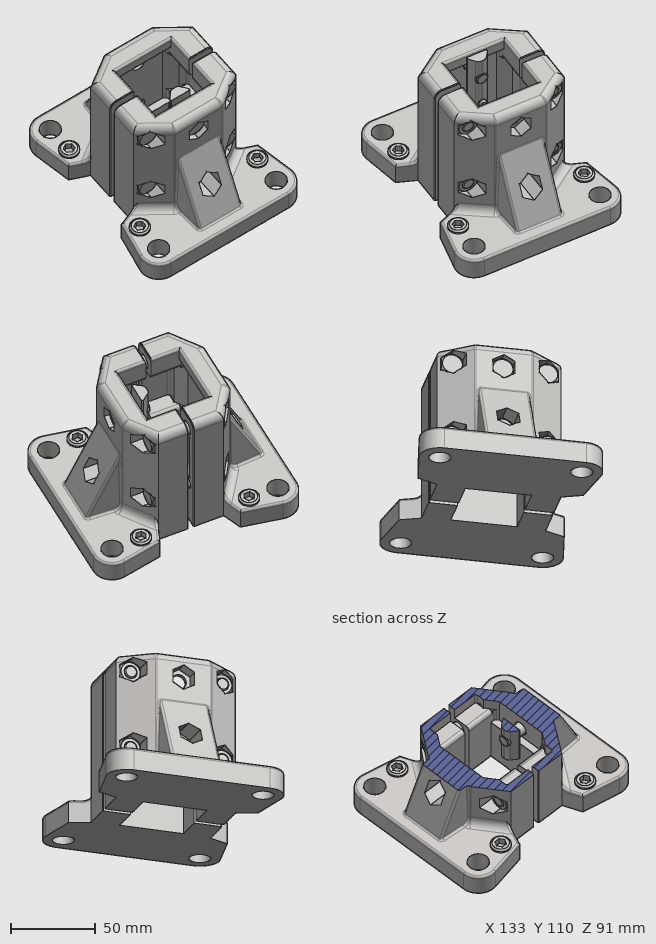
import cadquery as cq
import math

gap = 3.5
plate_length = 133.0
plate_width = 110.0
plate_thickness = 14.1
edge_round = 1.5

corner_radius = 12.2
corner_x = plate_length / 2 - corner_radius
corner_y = plate_width / 2 - corner_radius
plate_hole_diameter = 13.0
inner_corner_x = 26.3
inner_corner_y = 49.7

tower_height = 90.3
tower_half_x = 35.4
tower_half_y = 37.4
end_face_half_y = 17.4
side_face_half_x = 21.4
tower_round = 5.0
gap_edge_chamfer = 0.5
bore_side = 40.0
bore_round = 1.6

fastener_mid_z = 56.0

recess_x = 24.7
recess_y = 17.5
recess_height = 53.0
side_recess_x = 19.3
side_recess_y = 31.9
side_recess_corner_y = 25.4
side_recess_height = 35.1
recess_round = 2.0
side_recess_round = 1.3
collar_round = 2.7

rib_top_z = 60.0
rib_foot_x = 58.0
rib_half_width = 15.3
rib_draft_angle = 4.0

bolt_diameter = 8.0
bolt_hole_diameter = 9.0
pocket_width = 13.4
hex_width = 13.0
hex_chamfer_diameter = 12.0
hex_chamfer_height = 1.2
bolt_tip_chamfer = 0.7

clamp_bolt_y = 28.7
clamp_bolt_spacing = 47.9
clamp_pocket_floor_x = 19.3
clamp_head_x = 24.5
clamp_nut_x = 22.6
clamp_tip_x = 23.5

slot_bolt_spacing = 39.9
slot_pocket_floor_x = 27.1
slot_head_x = 32.5
slot_tip_x = 10.2

nut_top_z = 91.0
nut_back_x = 17.4
nut_shoulder_x = 16.2
nut_half_width = 6.8
nut_front_x = 10.6
nut_front_half_width = 2.5
nut_front_round = 4.0

pin_diameter = 5.0
pin_tip_x = 9.0
pin_point_height = 1.2

screw_x = 35.4
screw_diameter = 12.5
screw_top_diameter = 10.1
screw_rise = 2.0
screw_rim_height = 1.0
socket_width = 6.0
socket_depth = 4.0
socket_cone_depth = 2.0

margin = 0.1

SIGNS = (1, -1)


def heights(spacing):
    """Z of a pair of fasteners placed symmetrically about the middle height."""
    return [fastener_mid_z + sign * spacing / 2 for sign in SIGNS]


def mirrored(points):
    """Close an outline listed for Y > 0 with its mirror image in the XZ plane."""
    return points + [(x, -y) for x, y in reversed(points)]


def box(low_x, high_x, half_y, low_z, high_z):
    """Selector for what is centred inside a box symmetric about Y = 0."""
    return cq.selectors.BoxSelector((low_x, -half_y, low_z), (high_x, half_y, high_z))


def across_corners(width):
    """Corner circle diameter of a hexagon from its width across flats."""
    return width / math.cos(math.pi / 6)


def cylinder_x(diameter, x_start, x_end, y, z):
    """Cylinder along X."""
    plane = cq.Plane(origin=(x_start, y, z), xDir=(0, 1, 0), normal=(1, 0, 0))
    return cq.Workplane(plane).circle(diameter / 2).extrude(x_end - x_start)


def hexagon_x(width, x_start, x_end, y, z):
    """Hexagonal prism along X with corners at the top and bottom."""
    plane = cq.Plane(origin=(x_start, y, z), xDir=(0, 0, 1), normal=(1, 0, 0))
    return cq.Workplane(plane).polygon(6, across_corners(width)).extrude(x_end - x_start)


def bolt_shank(x_tip, x_end, y, z):
    """Cylinder along X with a chamfered end at x_tip."""
    shank = cylinder_x(bolt_diameter, x_tip, x_end, y, z)
    return shank.faces("<X").edges().chamfer(bolt_tip_chamfer)


def bolt_hex(x_seat, x_face, y, z):
    """Bolt head or nut whose corners are turned down to a circle on the free face."""
    start = min(x_seat, x_face)
    end = max(x_seat, x_face)
    free_face = ">X" if x_face > x_seat else "<X"
    turning_diameter = across_corners(hex_width)
    chamfer_width = (turning_diameter - hex_chamfer_diameter) / 2
    turned = cylinder_x(turning_diameter, start, end, y, z)
    turned = turned.faces(free_face).edges().chamfer(hex_chamfer_height, chamfer_width)
    return turned.intersect(hexagon_x(hex_width, start, end, y, z))


def plate():
    """Base plate of the +X half."""
    reach_x = corner_x - inner_corner_x
    reach_y = corner_y - inner_corner_y
    distance = math.hypot(reach_x, reach_y)
    slant = math.atan2(reach_y, reach_x) + math.asin(corner_radius / distance)
    tangent = (corner_x - corner_radius * math.sin(slant), corner_y + corner_radius * math.cos(slant))
    middle_angle = (math.pi / 2 + slant) / 2
    middle = (
        corner_x + corner_radius * math.cos(middle_angle),
        corner_y + corner_radius * math.sin(middle_angle),
    )
    outer_x = plate_length / 2
    return (
        cq.Workplane("XY")
        .moveTo(side_face_half_x, tower_half_y)
        .lineTo(inner_corner_x, inner_corner_y)
        .lineTo(*tangent)
        .threePointArc(middle, (outer_x, corner_y))
        .lineTo(outer_x, -corner_y)
        .threePointArc((middle[0], -middle[1]), (tangent[0], -tangent[1]))
        .lineTo(inner_corner_x, -inner_corner_y)
        .lineTo(side_face_half_x, -tower_half_y)
        .close()
        .extrude(plate_thickness)
    )


def tower():
    """Solid octagonal half tower with a rounded top and broken edges along the gap."""
    outline = mirrored([
        (gap / 2, tower_half_y),
        (side_face_half_x, tower_half_y),
        (tower_half_x, end_face_half_y),
    ])
    body = cq.Workplane("XY").polyline(outline).close().extrude(tower_height)
    end_corners = box(tower_half_x - margin, tower_half_x + margin, tower_half_y, 0, tower_height)
    body = body.edges("|Z").edges(end_corners).fillet(edge_round)
    body = body.faces(">Z").edges("not <X").fillet(tower_round)
    return body.faces("<X").edges("not <Z").chamfer(gap_edge_chamfer)


def rib():
    """Triangular rib whose flanks widen below a sloped face of constant width."""
    slope_x = rib_foot_x - tower_half_x
    slope_z = rib_top_z - plate_thickness
    slope_length = math.hypot(slope_x, slope_z)
    slope_middle = ((tower_half_x + rib_foot_x) / 2, 0, (plate_thickness + rib_top_z) / 2)
    slope_plane = cq.Plane(origin=slope_middle, xDir=(0, 1, 0), normal=(slope_z, 0, slope_x))
    block_length = 3 * slope_length
    block = (
        cq.Workplane(slope_plane)
        .rect(2 * rib_half_width, block_length)
        .extrude(-slope_length, taper=-rib_draft_angle)
    )
    side_profile = [
        (side_face_half_x, 0),
        (rib_foot_x, 0),
        (rib_foot_x, plate_thickness),
        (tower_half_x, rib_top_z),
        (side_face_half_x, rib_top_z),
    ]
    wedge = cq.Workplane("XZ").polyline(side_profile).close().extrude(tower_half_y, both=True)
    slope_edges = box(
        tower_half_x + margin, rib_foot_x - margin, tower_half_y, plate_thickness + margin, rib_top_z - margin
    )
    return block.intersect(wedge).edges(slope_edges).edges("not |Y").fillet(edge_round)


def rounded_pocket(points, height, rounding):
    """Prism about the middle height, its plan mirrored and rounded at the second listed point."""
    layer = cq.Workplane("XY", origin=(0, 0, fastener_mid_z - height / 2))
    pocket = layer.polyline(mirrored(points)).close().extrude(height)
    x, y = points[1]
    for side_y in (y, -y):
        corner = cq.selectors.BoxSelector(
            (x - margin, side_y - margin, 0), (x + margin, side_y + margin, tower_height)
        )
        pocket = pocket.edges("|Z").edges(corner).fillet(rounding)
    return pocket


def collar_rounding(end_x):
    """Material removed along X to round the bore edges above and below the side recesses."""
    wall_y = bore_side / 2
    edge_z = fastener_mid_z + side_recess_height / 2
    corner = (
        cq.Workplane("YZ")
        .moveTo(wall_y, edge_z)
        .lineTo(wall_y, edge_z + collar_round)
        .radiusArc((wall_y + collar_round, edge_z), -collar_round)
        .close()
        .extrude(end_x)
    )
    upper = corner.union(corner.mirror("XZ"))
    return upper.union(upper.mirror("XY", (0, 0, fastener_mid_z)))


def cavity():
    """Square bore, the recess behind its walls and the deeper side recesses."""
    wall_y = bore_side / 2
    bore = cq.Workplane("XY").rect(bore_side, bore_side).extrude(tower_height)

    slope = (recess_x - side_recess_x) / (side_recess_corner_y - recess_y)
    wall_end_x = recess_x - slope * (wall_y - recess_y)
    recess_plan = [(0, wall_y), (wall_end_x, wall_y), (recess_x, recess_y)]
    side_recess_plan = [
        (0, side_recess_y),
        (side_recess_x, side_recess_y),
        (side_recess_x, side_recess_corner_y),
        (recess_x, recess_y),
    ]
    recess = rounded_pocket(recess_plan, recess_height, recess_round)
    side_recess = rounded_pocket(side_recess_plan, side_recess_height, side_recess_round)
    rounding = collar_rounding(wall_end_x - slope * collar_round)
    return bore.union(recess).union(side_recess).union(rounding)


def casting():
    """Plate, tower and rib of the +X half with blended edges and the inner cavity."""
    body = plate().union(tower())
    low_z = plate_thickness - margin
    high_z = plate_thickness + margin

    diagonal_roots = box(side_face_half_x + margin, tower_half_x, tower_half_y - margin, low_z, high_z)
    body = body.edges(diagonal_roots).fillet(tower_round)

    whole_plate_top = box(0, plate_length, plate_width, low_z, high_z)
    inside_rim = box(0, plate_length / 2 - margin, corner_y, low_z, high_z)
    body = body.edges(whole_plate_top - inside_rim).fillet(edge_round)

    body = body.union(rib())
    rib_foot = box(tower_half_x + margin, rib_foot_x + margin, end_face_half_y, low_z, high_z)
    body = body.edges(rib_foot).fillet(edge_round)

    body = body.cut(cavity())
    mouth_limit = bore_side / 2 + margin
    mouth_start_x = gap / 2 + gap_edge_chamfer + margin
    bore_mouth = box(mouth_start_x, mouth_limit, mouth_limit, tower_height - margin, tower_height + margin)
    return body.edges(bore_mouth).fillet(bore_round)


def drilled_half():
    """The +X half with its jack screws, plate holes, bolt holes and hexagonal pockets."""
    body = casting()
    for y in (corner_y, -corner_y):
        body = body.union(jack_screw(y)).cut(jack_screw_socket(y))
    plate_holes = cq.Workplane("XY").pushPoints([(corner_x, corner_y), (corner_x, -corner_y)])
    body = body.cut(plate_holes.circle(plate_hole_diameter / 2).extrude(plate_thickness))
    for z in heights(clamp_bolt_spacing):
        for y in (clamp_bolt_y, -clamp_bolt_y):
            body = body.cut(cylinder_x(bolt_hole_diameter, 0, clamp_pocket_floor_x, y, z))
            body = body.cut(hexagon_x(pocket_width, clamp_pocket_floor_x, plate_length / 2, y, z))
    for z in heights(slot_bolt_spacing):
        body = body.cut(cylinder_x(bolt_hole_diameter, 0, slot_pocket_floor_x, 0, z))
        body = body.cut(hexagon_x(pocket_width, slot_pocket_floor_x, plate_length / 2, 0, z))
    return body


def clamp_bolt(y, z):
    """Bolt across the gap with its head in the +X half and its nut in the -X half."""
    shank = bolt_shank(-clamp_tip_x, clamp_pocket_floor_x, y, z)
    head = bolt_hex(clamp_pocket_floor_x, clamp_head_x, y, z)
    nut = bolt_hex(-clamp_pocket_floor_x, -clamp_nut_x, y, z)
    return shank.union(head).union(nut)


def slot_bolt(z):
    """Bolt through the +X end wall that ends inside the bore."""
    shank = bolt_shank(slot_tip_x, slot_pocket_floor_x, 0, z)
    return shank.union(bolt_hex(slot_pocket_floor_x, slot_head_x, 0, z))


def slot_nut():
    """Upright bar with a tapered front."""
    plan = mirrored([
        (nut_front_x, nut_front_half_width),
        (nut_shoulder_x, nut_half_width),
        (nut_back_x, nut_half_width),
    ])
    bottom_z = 2 * fastener_mid_z - nut_top_z
    bar = cq.Workplane("XY", origin=(0, 0, bottom_z)).polyline(plan).close().extrude(nut_top_z - bottom_z)
    front_edges = box(nut_front_x - margin, nut_front_x + margin, nut_half_width, bottom_z, nut_top_z)
    bar = bar.edges("|Z").edges(front_edges).fillet(nut_front_round)
    pin = cylinder_x(pin_diameter, pin_tip_x, nut_back_x, 0, fastener_mid_z)
    return bar.union(pin.faces("<X").edges().chamfer(pin_point_height))


def jack_screw(y):
    """Screw end standing proud of the plate, with a chamfered rim."""
    chamfer_height = screw_rise - screw_rim_height
    chamfer_width = (screw_diameter - screw_top_diameter) / 2
    base = cq.Workplane("XY", origin=(screw_x, y, plate_thickness))
    screw = base.circle(screw_diameter / 2).extrude(screw_rise)
    return screw.faces(">Z").edges().chamfer(chamfer_height, chamfer_width)


def jack_screw_socket(y):
    """Hexagonal socket with a conical bottom."""
    top_z = plate_thickness + screw_rise
    total_depth = socket_depth + socket_cone_depth
    corner_diameter = across_corners(socket_width)
    cone_tip = cq.Vector(screw_x, y, top_z - total_depth)
    cone = cq.Solid.makeCone(0, corner_diameter / 2, socket_cone_depth, cone_tip, cq.Vector(0, 0, 1))
    mouth = cq.Workplane("XY", origin=(screw_x, y, top_z))
    shaft = mouth.circle(corner_diameter / 2).extrude(-socket_depth)
    return shaft.union(cq.Workplane(cone)).intersect(mouth.polygon(6, corner_diameter).extrude(-total_depth))


half = drilled_half()

result = half.union(half.mirror("YZ"))
for bolt_z in heights(clamp_bolt_spacing):
    for side in SIGNS:
        result = result.union(clamp_bolt(side * clamp_bolt_y, bolt_z))
for bolt_z in heights(slot_bolt_spacing):
    result = result.union(slot_bolt(bolt_z))
result = result.union(slot_nut())